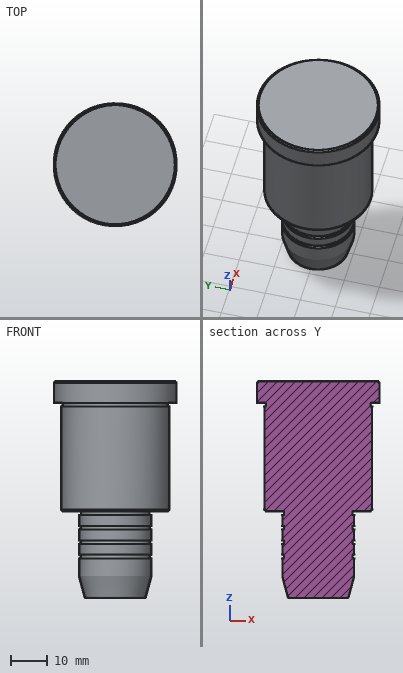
import cadquery as cq
import math

FULL_TURN = 360.0

total_height = 60.0
collar_height = 6.0
body_bottom = 24.0
shank_top = 23.0
taper_height = 6.0

collar_radius = 17.0
body_radius = 15.0
shank_radius = 10.0
neck_radius = 9.5

collar_chamfer = 0.5
body_chamfer = 0.5
tip_fillet = 0.5
taper_angle = 15.0

groove_radius = 0.5
groove_count = 3
groove_pitch = 4.0
first_groove_centre = 19.5

collar_bottom = total_height - collar_height
tip_radius = shank_radius - taper_height * math.tan(math.radians(taper_angle))


def cylinder(radius, bottom, top):
    return cq.Workplane("XY").workplane(offset=bottom).circle(radius).extrude(top - bottom)


def make_collar():
    collar = cylinder(collar_radius, collar_bottom, total_height)
    return collar.faces(">Z").edges().chamfer(collar_chamfer)


def make_body():
    body = cylinder(body_radius, body_bottom, collar_bottom)
    return body.faces("<Z").edges().chamfer(body_chamfer)


def make_shank():
    """Plain shank with a tapered, rounded tip and a neck joining it to the body."""
    outline = (
        cq.Workplane("XZ")
        .lineTo(tip_radius, 0)
        .lineTo(shank_radius, taper_height)
        .lineTo(shank_radius, shank_top)
        .lineTo(neck_radius, shank_top)
        .lineTo(neck_radius, body_bottom)
        .lineTo(0, body_bottom)
        .close()
    )
    shank = outline.revolve(FULL_TURN, (0, 0, 0), (0, 1, 0))
    return shank.faces("<Z").edges().fillet(tip_fillet)


def make_groove(surface_radius, centre_height):
    """Ring cutter of round section, centred on the cylinder surface it is cut into."""
    section = cq.Workplane("XZ").center(surface_radius, centre_height).circle(groove_radius)
    return section.revolve(FULL_TURN, (-surface_radius, 0, 0), (-surface_radius, 1, 0))


def cut_shank_grooves(part):
    for index in range(groove_count):
        centre_height = first_groove_centre - index * groove_pitch
        part = part.cut(make_groove(shank_radius, centre_height))
    return part


result = make_shank().union(make_body())
result = result.cut(make_groove(body_radius, collar_bottom - groove_radius))
result = result.union(make_collar())
result = cut_shank_grooves(result)